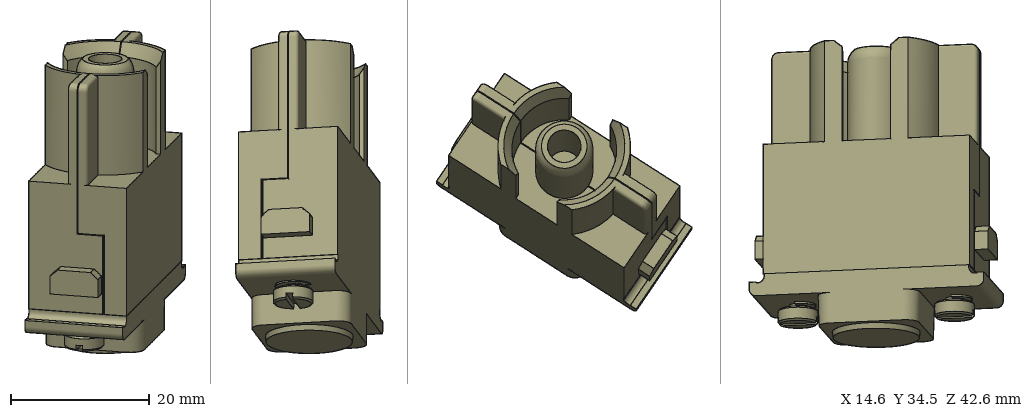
import cadquery as cq

total_height = 42.6
collar_bottom_z = 0.8
flange_bottom_z = 5.32
flange_top_z = 7.35
shoulder_z = 27.7
step_z = 20.28

width = 14.6
half_width = width / 2
flange_half_length = 17.25
wall_half_length = 15.15
flange_fillet = 1.02
undercut_top_z = 8.5
undercut_bottom_z = 7.25
undercut_inner_y = 15.05
undercut_outer_y = 16.25
undercut_fillet = 1.0

collar_half_length_top = 7.45
collar_half_length_bottom = 7.33
collar_corner_radius = 2.0
lip_diameter = 12.7
lip_end_diameter = 12.45

ring_outer_radius = 9.55
ring_inner_radius = 7.55
ring_mouth_radius = 8.75
ring_mouth_depth = 1.9
window_width = 7.1
rib_thickness = 3.0
rib_end_fillet = 1.02
rib_side_fillet = 0.45

latch_bottom_z = 11.6
latch_top_z = 15.25
latch_half_width = 3.58
latch_half_length = 17.13
latch_bevel_width = 1.1
latch_bevel_height = 1.0

seam_gap = 0.13
lower_seam_x = 3.7
lower_seam_gap = 0.3
lower_seam_depth = 0.65

contact_diameter = 8.25
contact_tip_diameter = 6.55
contact_hole_diameter = 4.8
contact_hole_depth = 12.8
contact_top_z = 42.45
contact_tip_height = 1.8

screw_y = 11.5
head_diameter = 5.75
head_bottom_z = 2.5
head_height = 2.15
head_chamfer = 0.25
slot_width = 1.0
slot_depth = 0.85
shank_diameter = 2.45
shank_end_z = 10.65

half_ring_outer_radius = 2.6
half_ring_inner_radius = 1.35
half_ring_drop_low = 0.3
half_ring_drop_high = 0.1


def box_between(x0, x1, y0, y1, z0, z1):
    return cq.Workplane("XY").box(x1 - x0, y1 - y0, z1 - z0, centered=False).translate((x0, y0, z0))


def cylinder(diameter, z0, z1):
    return cq.Workplane("XY").workplane(offset=z0).circle(diameter / 2).extrude(z1 - z0)


def both_ends(shape):
    """Shape together with its mirror image at the opposite Y end."""
    return shape.union(shape.mirror("XZ"))


def make_block():
    """Main block with the flange, undercut and rounded along both ends."""
    block = box_between(-half_width, half_width, -wall_half_length, wall_half_length,
                        flange_bottom_z, shoulder_z)
    flange = box_between(-half_width, half_width, -flange_half_length, flange_half_length,
                         flange_bottom_z, flange_top_z)
    flange = flange.faces("<Z").edges("|X").fillet(flange_fillet)
    corner_half_length = undercut_inner_y + undercut_fillet
    corner = box_between(-half_width, half_width, -corner_half_length, corner_half_length,
                         flange_top_z, undercut_bottom_z + undercut_fillet)
    undercut = box_between(-half_width, half_width, undercut_inner_y, undercut_outer_y,
                           undercut_bottom_z, undercut_top_z)
    undercut = undercut.faces("<Y").edges("<Z").fillet(undercut_fillet)
    return block.union(flange).union(corner).cut(both_ends(undercut))


def make_collar():
    """Rounded collar under the flange, slightly tapered along Y, with a round lip."""
    collar = (cq.Workplane("YZ")
              .polyline([(-collar_half_length_top, flange_bottom_z),
                         (collar_half_length_top, flange_bottom_z),
                         (collar_half_length_bottom, collar_bottom_z),
                         (-collar_half_length_bottom, collar_bottom_z)]).close()
              .extrude(half_width, both=True)
              .edges("(not |X) and (not |Y)").fillet(collar_corner_radius))
    lip = (cq.Workplane("XY").circle(lip_end_diameter / 2)
           .workplane(offset=collar_bottom_z).circle(lip_diameter / 2).loft())
    return collar.union(lip)


def make_ring():
    """Socket ring with two ribs, flat at the block sides, with flared mouth and side windows."""
    height = total_height - shoulder_z
    ring = cylinder(2 * ring_outer_radius, shoulder_z, total_height).union(both_ends(make_rib()))
    ring = ring.cut(cylinder(2 * ring_inner_radius, shoulder_z, total_height))
    mouth = (cq.Workplane("XY").workplane(offset=total_height - ring_mouth_depth)
             .circle(ring_inner_radius)
             .workplane(offset=ring_mouth_depth).circle(ring_mouth_radius).loft())
    window = (cq.Workplane("XY").workplane(offset=shoulder_z)
              .rect(width, window_width).extrude(height))
    sides = (cq.Workplane("XY").workplane(offset=shoulder_z)
             .rect(width, 2 * wall_half_length).extrude(height))
    return ring.cut(mouth).cut(window).intersect(sides)


def make_rib():
    """Rib from the ring to the +Y end wall, rounded at its outer end and along its sides."""
    rib = box_between(-rib_thickness / 2, rib_thickness / 2, ring_inner_radius, wall_half_length,
                      shoulder_z, total_height)
    rib = rib.faces(">Y").edges(">Z").fillet(rib_end_fillet)
    return rib.faces(">Y").edges("|Z").fillet(rib_side_fillet)


def make_latch():
    """Latch block on the +Y end wall with its two upper corners bevelled."""
    return (cq.Workplane("XZ")
            .polyline([(-latch_half_width, latch_bottom_z),
                       (latch_half_width, latch_bottom_z),
                       (latch_half_width, latch_top_z - latch_bevel_height),
                       (latch_half_width - latch_bevel_width, latch_top_z),
                       (-latch_half_width + latch_bevel_width, latch_top_z),
                       (-latch_half_width, latch_top_z - latch_bevel_height)]).close()
            .extrude(-(latch_half_length - wall_half_length))
            .translate((0, wall_half_length, 0)))


def make_half_ring():
    """Half ring below the flange whose lower face slopes down toward +X."""
    reach = half_ring_outer_radius
    wedge = (cq.Workplane("XZ")
             .polyline([(-reach, flange_bottom_z),
                        (reach, flange_bottom_z),
                        (reach, flange_bottom_z - half_ring_drop_low),
                        (-reach, flange_bottom_z - half_ring_drop_high)]).close()
             .extrude(-reach))
    tube = (cq.Workplane("XY").circle(half_ring_outer_radius).circle(half_ring_inner_radius)
            .extrude(flange_bottom_z))
    return wedge.intersect(tube)


def make_housing_blank():
    """Both shells as one piece, with the openings for contact and screws."""
    blank = make_block().union(make_collar()).union(make_ring()).union(both_ends(make_latch()))
    blank = blank.cut(cylinder(contact_diameter, step_z, shoulder_z))
    for y in (-screw_y, screw_y):
        blank = blank.cut(cylinder(shank_diameter, flange_bottom_z, shank_end_z).translate((0, y, 0)))
        blank = blank.union(make_half_ring().translate((0, y, 0)))
    return blank


def make_right_region():
    """Space of the +X shell: upper half, narrow lower leg and the leg's inner key."""
    leg_x = lower_seam_x + lower_seam_gap
    key_half_length = wall_half_length - lower_seam_depth
    upper = box_between(seam_gap / 2, half_width, -wall_half_length, wall_half_length,
                        step_z + seam_gap, total_height)
    leg = box_between(leg_x, half_width, -wall_half_length, wall_half_length,
                      undercut_top_z, step_z + seam_gap)
    key = box_between(lower_seam_x, leg_x, -key_half_length, key_half_length,
                      undercut_top_z, step_z)
    return upper.union(leg).union(key)


def make_joint():
    """Open joint left between the shells."""
    leg_x = lower_seam_x + lower_seam_gap
    upper = box_between(-seam_gap / 2, seam_gap / 2, -wall_half_length, wall_half_length,
                        step_z, total_height)
    shelf = box_between(-seam_gap / 2, leg_x, -wall_half_length, wall_half_length,
                        step_z, step_z + seam_gap)
    leg = box_between(lower_seam_x, leg_x, -wall_half_length, wall_half_length,
                      undercut_top_z, step_z)
    return upper.union(shelf).union(leg)


def make_contact():
    """Round contact standing on the step, with rounded tip and blind hole."""
    radius = contact_diameter / 2
    tip_radius = contact_tip_diameter / 2
    tip_start_z = contact_top_z - contact_tip_height
    contact = (cq.Workplane("XZ").moveTo(0, step_z).lineTo(radius, step_z)
               .lineTo(radius, tip_start_z)
               .tangentArcPoint((tip_radius, contact_top_z), relative=False)
               .lineTo(0, contact_top_z).close()
               .revolve(360, (0, 0, 0), (0, 1, 0)))
    return contact.cut(cylinder(contact_hole_diameter, contact_top_z - contact_hole_depth, contact_top_z))


def make_screw(y):
    """Slotted cheese-head screw pointing up into the flange."""
    head = cylinder(head_diameter, head_bottom_z, head_bottom_z + head_height).edges().chamfer(head_chamfer)
    slot = (cq.Workplane("XY").workplane(offset=head_bottom_z)
            .rect(slot_width, head_diameter).extrude(slot_depth))
    shank = cylinder(shank_diameter, head_bottom_z + head_height, shank_end_z)
    return head.cut(slot).union(shank).translate((0, y, 0))


housing_blank = make_housing_blank()
right_region = make_right_region()
right_shell = housing_blank.intersect(right_region)
left_shell = housing_blank.cut(right_region).cut(make_joint())
contact = make_contact()
screws = [make_screw(y) for y in (-screw_y, screw_y)]

result = cq.Compound.makeCompound([
    left_shell.val(),
    right_shell.val(),
    contact.val(),
    *[screw.val() for screw in screws],
])